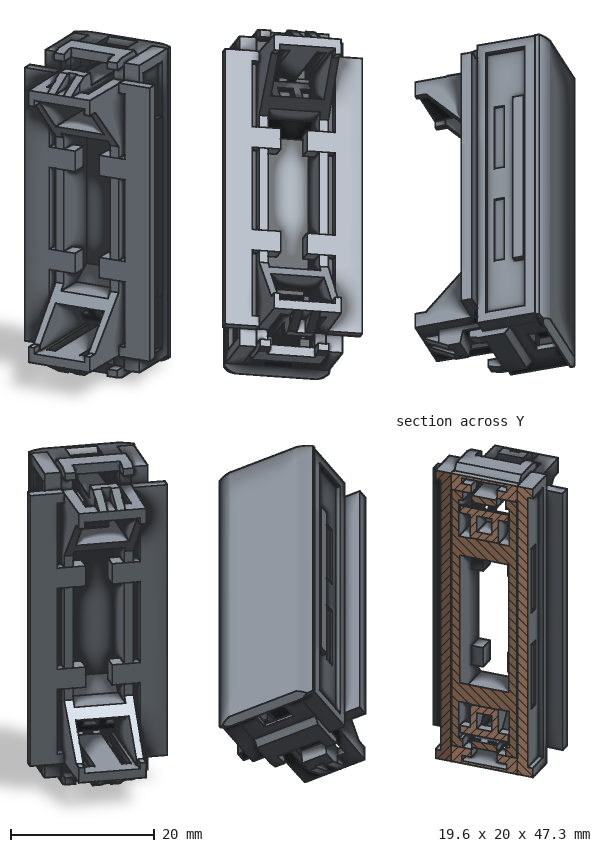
import cadquery as cq
import math

FRONT_Y = -10.0
BACK_Y = 10.0
BODY_HALF_Z = 22.57
LENS_HALF_X = 7.51

FLANGE_HALF_X = 19.62 / 2
FLANGE_HALF_Z = 20.07
FLANGE_FRONT_Y = -1.6
FLANGE_BACK_Y = 0.0
OPENING_HALF_X = 5.94
OPENING_HALF_Z = 18.6
CHANNEL_HALF_X = 4.95
CHANNEL_INNER_X = 3.66
CHANNEL_BACK_Y = 5.25

TAB_INNER_X = 1.89
TAB_LOW_Z = 6.0
TAB_HIGH_Z = 9.0
TAB_DEPTH = 2.5

ARM_TOP_Z = 19.97
ARM_PLATE_Z = 18.6
ARM_LIP_Z = 17.72
ARM_LIP_Y = -8.42
ARM_ROOT_Z = 10.72
ARM_TIP_HALF_X = 4.8
ARM_LIP_INNER_X = 3.96

CROSSBAR_TOP_Z = 12.98
CROSSBAR_BOTTOM_Z = 11.55
WEDGE_START_Y = 2.1
WEDGE_ANGLE = 30.0
CHAMBER_HALF_X = 3.8

FINGER_HALF_X = 1.94
FINGER_BACK_Y = 8.15
FINGER_DROP = 0.32
SINK_HALF_X = 1.82
SLOT_OUTER_X = 3.25
SLOT_FRONT_Y = -7.48
CLAW_BACK_Y = -3.95
CLAW_RIDGE_BACK_Y = -4.37
CLAW_RIDGE_FRONT_Y = -6.2
CLAW_TOP_Z = 21.95
CLAW_TIP_HALF_X = 1.88
GROOVE_HALF_X = 0.65
GROOVE_BACK_Y = -5.8

LENS_PLATE_Y = 8.49
LENS_CORE_HALF_X = 5.02
LENS_CORNER_Y = 9.08
LENS_FLAT_HALF_X = 5.4
CORNER_BULGE = 0.12
LIP_TIP_Y = 9.2
LIP_TIP_Z = -23.78
LIP_BACK_Z = -22.75
LIP_SIDE_Z = -22.9
LIP_FLAT_HALF_X = 5.8

CAP_HALF_X = 4.92
CAP_SKIN = 0.78
HOOK_TOP_Z = 23.48
HOOK_BOTTOM_Z = 22.07
HOOK_RAMP_FOOT_Y = 4.0
HOOK_RAMP_TOP_Y = 3.1
HOOK_NOSE_Y = -0.6
HOOK_TIP_Y = -2.0
HOOK_TIP_Z = 23.1
NOTCH_HALF_X = 3.38
NOTCH_BACK_Y = 0.1
LEDGE_FRONT_Y = 3.0
LEDGE_TOP_Z = 21.3
WINDOW_HALF_X = 2.28
WINDOW_FRONT_Y = 5.46

CATCH_HALF_X = 2.18
CATCH_FRONT_Y = 1.5
CATCH_UNDERCUT_Z = 13.52
CATCH_EDGE_Z = 14.2
CATCH_BAND_Z = 16.6
CATCH_TOP_Z = 17.8
CATCH_ANGLE = 40.0
CATCH_HOLE_HALF_X = 1.08
BEAD_HEIGHT = 0.6
BEAD_INNER_X = 0.65
BEAD_OUTER_X = 1.8

WALL_OUTER_X = 7.38
WALL_RECESS_X = 6.65
RECESS_FRONT_Y = 1.21
RECESS_BACK_Y = 6.92
RECESS_HALF_Z = 21.08
RAIL_FRONT_Y = 5.23
RAIL_BACK_Y = 6.8
RAIL_HALF_Z = 13.1
WALL_GROOVE_FRONT_Y = 2.2
WALL_GROOVE_REAR_Y = 3.66
WALL_GROOVE_LOW_Z = 2.5
WALL_GROOVE_HIGH_Z = 12.5
WALL_GROOVE_DEPTH = 0.3


def block(x0, x1, y0, y1, z0, z1):
    """Box between two opposite corners."""
    return cq.Workplane("XY").box(x1 - x0, y1 - y0, z1 - z0, centered=False).translate((x0, y0, z0))


def centred_block(half_x, y0, y1, z0, z1):
    """Box that is symmetric about X = 0."""
    return block(-half_x, half_x, y0, y1, z0, z1)


def side_profile(points, half_x):
    """Prism across X from an outline of (y, z) points, symmetric about X = 0."""
    return cq.Workplane("YZ").polyline(points).close().extrude(half_x, both=True)


def flip_z(shape):
    return shape.mirror("XY")


def flip_x(shape):
    return shape.mirror("YZ")


def retaining_tabs():
    """The two tabs on the +X side, which pass through the channel wall into the trough."""
    tab_back_y = FLANGE_FRONT_Y + TAB_DEPTH
    tab = block(TAB_INNER_X, OPENING_HALF_X, FLANGE_FRONT_Y, tab_back_y, TAB_LOW_Z, TAB_HIGH_Z)
    return tab, flip_z(tab)


def arm():
    """Upper latch arm with its ribs, still solid inside."""
    ribs = side_profile(
        [
            (FLANGE_FRONT_Y, ARM_ROOT_Z),
            (ARM_LIP_Y, ARM_LIP_Z),
            (FRONT_Y, ARM_LIP_Z),
            (FRONT_Y, ARM_TOP_Z),
            (FLANGE_FRONT_Y, ARM_TOP_Z),
        ],
        CHANNEL_HALF_X,
    )
    taper = (
        cq.Workplane("XY")
        .polyline(
            [
                (-CHANNEL_HALF_X, FLANGE_FRONT_Y),
                (-ARM_TIP_HALF_X, FRONT_Y),
                (ARM_TIP_HALF_X, FRONT_Y),
                (CHANNEL_HALF_X, FLANGE_FRONT_Y),
            ]
        )
        .close()
        .extrude(ARM_TOP_Z)
    )
    ribs = ribs.intersect(taper)
    tongue = centred_block(CHANNEL_HALF_X, CHANNEL_BACK_Y, LENS_PLATE_Y, ARM_PLATE_Z, ARM_TOP_Z)
    return ribs.union(tongue)


def arm_hollow():
    """Chamber between the cross bar and the arm plate, lip relief, finger slots and sunken finger top."""
    chamber = centred_block(CHAMBER_HALF_X, FRONT_Y, CHANNEL_BACK_Y, CROSSBAR_TOP_Z, ARM_PLATE_Z)
    lip_relief = centred_block(ARM_LIP_INNER_X, FRONT_Y, ARM_LIP_Y, ARM_LIP_Z, ARM_PLATE_Z)
    slot = block(FINGER_HALF_X, SLOT_OUTER_X, SLOT_FRONT_Y, CHANNEL_BACK_Y, ARM_PLATE_Z, ARM_TOP_Z)
    sink = side_profile(
        [
            (CLAW_BACK_Y, ARM_TOP_Z),
            (FINGER_BACK_Y, ARM_TOP_Z),
            (FINGER_BACK_Y, ARM_TOP_Z - FINGER_DROP),
        ],
        SINK_HALF_X,
    )
    return chamber.union(lip_relief).union(slot).union(flip_x(slot)).union(sink)


def claw():
    """Ramped claw on the finger, with a groove between its two ramps."""
    body = side_profile(
        [
            (CLAW_BACK_Y, ARM_TOP_Z),
            (CLAW_RIDGE_BACK_Y, CLAW_TOP_Z),
            (CLAW_RIDGE_FRONT_Y, CLAW_TOP_Z),
            (FRONT_Y, ARM_TOP_Z),
        ],
        FINGER_HALF_X,
    )
    groove = centred_block(GROOVE_HALF_X, FRONT_Y, GROOVE_BACK_Y, ARM_TOP_Z, CLAW_TOP_Z)
    step = block(CLAW_TIP_HALF_X, FINGER_HALF_X, FRONT_Y, SLOT_FRONT_Y, ARM_TOP_Z, CLAW_TOP_Z)
    return body.cut(groove).cut(step).cut(flip_x(step))


def channel_cavity():
    """Open trough between the arms; its ends slope inwards near the lens."""
    wedge_rise = (CHANNEL_BACK_Y - WEDGE_START_Y) * math.tan(math.radians(WEDGE_ANGLE))
    back_z = CROSSBAR_BOTTOM_Z - wedge_rise
    return side_profile(
        [
            (FRONT_Y, -CROSSBAR_BOTTOM_Z),
            (WEDGE_START_Y, -CROSSBAR_BOTTOM_Z),
            (CHANNEL_BACK_Y, -back_z),
            (CHANNEL_BACK_Y, back_z),
            (WEDGE_START_Y, CROSSBAR_BOTTOM_Z),
            (FRONT_Y, CROSSBAR_BOTTOM_Z),
        ],
        CHANNEL_INNER_X,
    )


def make_carrier():
    carrier = centred_block(CHANNEL_HALF_X, FLANGE_FRONT_Y, CHANNEL_BACK_Y, -ARM_TOP_Z, ARM_TOP_Z)
    carrier = carrier.union(arm()).union(flip_z(arm()))
    carrier = carrier.cut(channel_cavity()).cut(arm_hollow()).cut(flip_z(arm_hollow()))
    carrier = carrier.union(claw()).union(flip_z(claw()))
    for tab in retaining_tabs():
        carrier = carrier.cut(tab).cut(flip_x(tab))
    return carrier


def bowed_point(start, end):
    """Point beside the middle of a chord, on its outer side, for a shallow arc."""
    mid_x = (start[0] + end[0]) / 2
    mid_y = (start[1] + end[1]) / 2
    length = math.hypot(end[0] - start[0], end[1] - start[1])
    normal_x = (start[1] - end[1]) / length
    normal_y = (end[0] - start[0]) / length
    return mid_x + CORNER_BULGE * normal_x, mid_y + CORNER_BULGE * normal_y


def lens_plate():
    """Wide plate with shallow arcs along its long back edges."""
    right_side = (LENS_HALF_X, LENS_CORNER_Y)
    right_flat = (LENS_FLAT_HALF_X, BACK_Y)
    left_flat = (-LENS_FLAT_HALF_X, BACK_Y)
    left_side = (-LENS_HALF_X, LENS_CORNER_Y)
    return (
        cq.Workplane("XY")
        .moveTo(-LENS_HALF_X, LENS_PLATE_Y)
        .lineTo(LENS_HALF_X, LENS_PLATE_Y)
        .lineTo(*right_side)
        .threePointArc(bowed_point(right_flat, right_side), right_flat)
        .lineTo(*left_flat)
        .threePointArc(bowed_point(left_side, left_flat), left_side)
        .close()
        .extrude(BODY_HALF_Z, both=True)
    )


def lens_lip():
    """Pointed lip below the lens plate, with rounded ends."""
    ridge = side_profile(
        [
            (LENS_PLATE_Y, -BODY_HALF_Z),
            (LIP_TIP_Y, LIP_TIP_Z),
            (BACK_Y, LIP_BACK_Z),
            (BACK_Y, -BODY_HALF_Z),
        ],
        LENS_HALF_X,
    )
    left_side = (-LENS_HALF_X, LIP_SIDE_Z)
    left_flat = (-LIP_FLAT_HALF_X, LIP_TIP_Z)
    right_flat = (LIP_FLAT_HALF_X, LIP_TIP_Z)
    right_side = (LENS_HALF_X, LIP_SIDE_Z)
    outline = (
        cq.Workplane("XZ")
        .moveTo(-LENS_HALF_X, -BODY_HALF_Z)
        .lineTo(*left_side)
        .threePointArc(bowed_point(left_flat, left_side), left_flat)
        .lineTo(*right_flat)
        .threePointArc(bowed_point(right_side, right_flat), right_side)
        .lineTo(LENS_HALF_X, -BODY_HALF_Z)
        .close()
        .extrude(-BACK_Y)
    )
    long_edges = lens_plate().translate((0, 0, -BODY_HALF_Z))
    return ridge.intersect(outline).intersect(long_edges)


def end_cap():
    """Upper end of the lens: a hollow cap with a catch hook and a window."""
    core = centred_block(LENS_CORE_HALF_X, HOOK_RAMP_FOOT_Y, LENS_PLATE_Y, ARM_TOP_Z, BODY_HALF_Z)
    nose = centred_block(CAP_HALF_X, 0, HOOK_RAMP_FOOT_Y, ARM_TOP_Z, BODY_HALF_Z)
    hook = side_profile(
        [
            (HOOK_RAMP_FOOT_Y, BODY_HALF_Z),
            (HOOK_RAMP_TOP_Y, HOOK_TOP_Z),
            (HOOK_NOSE_Y, HOOK_TOP_Z),
            (HOOK_TIP_Y, HOOK_TIP_Z),
            (HOOK_TIP_Y, HOOK_BOTTOM_Z),
            (HOOK_RAMP_FOOT_Y, HOOK_BOTTOM_Z),
        ],
        CAP_HALF_X,
    )
    notch = centred_block(NOTCH_HALF_X, HOOK_TIP_Y, NOTCH_BACK_Y, ARM_TOP_Z, HOOK_TOP_Z)
    skin_z = BODY_HALF_Z - CAP_SKIN
    rear_hollow = centred_block(NOTCH_HALF_X, WINDOW_FRONT_Y, LENS_PLATE_Y, ARM_TOP_Z, skin_z)
    front_hollow = centred_block(NOTCH_HALF_X, 0, WINDOW_FRONT_Y, ARM_TOP_Z, HOOK_BOTTOM_Z)
    ledge = block(FINGER_HALF_X, NOTCH_HALF_X, LEDGE_FRONT_Y, WINDOW_FRONT_Y, ARM_TOP_Z, LEDGE_TOP_Z)
    cap = core.union(nose).union(hook).cut(notch).cut(rear_hollow).cut(front_hollow)
    return cap.union(ledge).union(flip_x(ledge))


def window():
    """Window through the cap skin; its back edge leans outwards at 45 degrees."""
    inner_z = BODY_HALF_Z - CAP_SKIN
    return side_profile(
        [
            (WINDOW_FRONT_Y, inner_z),
            (LENS_PLATE_Y, inner_z),
            (LENS_PLATE_Y + CAP_SKIN, BODY_HALF_Z),
            (WINDOW_FRONT_Y, BODY_HALF_Z),
        ],
        WINDOW_HALF_X,
    )


def catch():
    """Ramped catch that stands on the lens core inside the arm chamber."""
    slope = math.tan(math.radians(CATCH_ANGLE))
    band_y = CATCH_FRONT_Y + (CATCH_BAND_Z - CATCH_EDGE_Z) * slope
    top_y = CATCH_FRONT_Y + (CATCH_TOP_Z - CATCH_EDGE_Z) * slope
    undercut_y = CATCH_FRONT_Y + (CATCH_UNDERCUT_Z - CROSSBAR_TOP_Z) / math.tan(math.radians(WEDGE_ANGLE))
    ramp = side_profile(
        [
            (undercut_y, CROSSBAR_TOP_Z),
            (CATCH_FRONT_Y, CATCH_UNDERCUT_Z),
            (CATCH_FRONT_Y, CATCH_EDGE_Z),
            (top_y, CATCH_TOP_Z),
            (CHANNEL_BACK_Y, CATCH_TOP_Z),
            (CHANNEL_BACK_Y, CROSSBAR_TOP_Z),
        ],
        CATCH_HALF_X,
    )
    band = side_profile(
        [
            (band_y, CATCH_BAND_Z),
            (top_y, CATCH_TOP_Z),
            (CHANNEL_BACK_Y, CATCH_TOP_Z),
            (CHANNEL_BACK_Y, CATCH_BAND_Z),
        ],
        CHANNEL_INNER_X,
    )
    hole = centred_block(CATCH_HOLE_HALF_X, CATCH_FRONT_Y, CHANNEL_BACK_Y, CATCH_EDGE_Z, CATCH_BAND_Z)
    return ramp.union(band).cut(hole)


def beads():
    """Pair of small beads on the lens core above the catch, with faces at 45 degrees."""
    bead = side_profile(
        [
            (CHANNEL_BACK_Y, CATCH_TOP_Z),
            (CHANNEL_BACK_Y - BEAD_HEIGHT, CATCH_TOP_Z + BEAD_HEIGHT),
            (CHANNEL_BACK_Y, CATCH_TOP_Z + BEAD_HEIGHT),
        ],
        BEAD_OUTER_X,
    )
    gap = centred_block(
        BEAD_INNER_X, FRONT_Y, CHANNEL_BACK_Y, CATCH_TOP_Z, CATCH_TOP_Z + BEAD_HEIGHT
    )
    return bead.cut(gap)


def make_lens():
    core = centred_block(LENS_CORE_HALF_X, CHANNEL_BACK_Y, LENS_PLATE_Y, -ARM_PLATE_Z, ARM_PLATE_Z)
    lens = lens_plate().union(core).union(lens_lip())
    for feature in (end_cap(), catch(), beads()):
        lens = lens.union(feature).union(flip_z(feature))
    return lens.cut(window()).cut(flip_z(window()))


def side_wall():
    """Wall on the +X side, with an outer recess, a rail and two shallow grooves in the recess floor."""
    wall = block(LENS_CORE_HALF_X, WALL_OUTER_X, FLANGE_BACK_Y, LENS_PLATE_Y, -BODY_HALF_Z, BODY_HALF_Z)
    recess = block(
        WALL_RECESS_X, WALL_OUTER_X, RECESS_FRONT_Y, RECESS_BACK_Y, -RECESS_HALF_Z, RECESS_HALF_Z
    )
    rail = block(WALL_RECESS_X, LENS_HALF_X, RAIL_FRONT_Y, RAIL_BACK_Y, -RAIL_HALF_Z, RAIL_HALF_Z)
    groove_floor_x = WALL_RECESS_X - WALL_GROOVE_DEPTH
    groove = block(
        groove_floor_x,
        WALL_RECESS_X,
        WALL_GROOVE_FRONT_Y,
        WALL_GROOVE_REAR_Y,
        WALL_GROOVE_LOW_Z,
        WALL_GROOVE_HIGH_Z,
    )
    return wall.cut(recess).union(rail).cut(groove).cut(flip_z(groove))


def make_side_frame():
    """Side frame on the +X side: its wall, its half of the flange and two retaining tabs."""
    flange = block(
        CHANNEL_HALF_X, FLANGE_HALF_X, FLANGE_FRONT_Y, FLANGE_BACK_Y, -FLANGE_HALF_Z, FLANGE_HALF_Z
    )
    opening = block(
        CHANNEL_HALF_X, OPENING_HALF_X, FLANGE_FRONT_Y, FLANGE_BACK_Y, -OPENING_HALF_Z, OPENING_HALF_Z
    )
    frame = side_wall().union(flange.cut(opening))
    for tab in retaining_tabs():
        frame = frame.union(tab)
    return frame


lens = make_lens()
carrier = make_carrier()
side_frames = []
for mirrored in (False, True):
    frame = make_side_frame()
    side_frames.append(flip_x(frame) if mirrored else frame)

bodies = [lens, carrier, *side_frames]
result = cq.Compound.makeCompound([body.solids().val() for body in bodies])